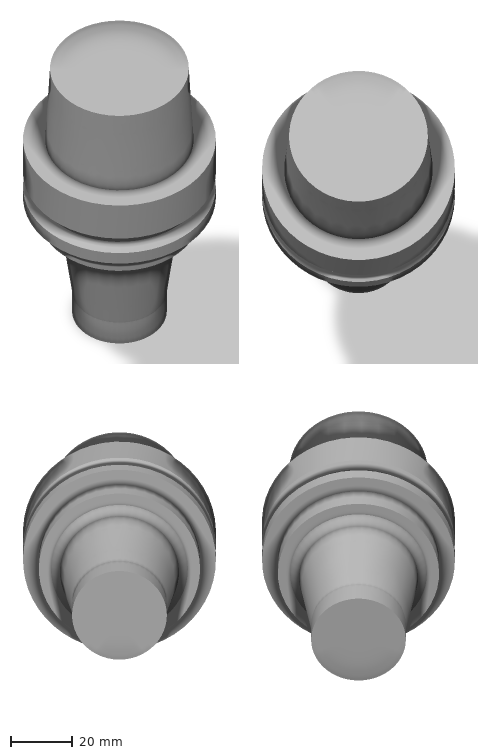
import cadquery as cq

total_height = 109.0

nose_diameter = 31.0
neck_diameter = 38.9
shoulder_diameter = 44.7
collar_diameter = 52.6
flange_diameter = 63.0
groove_mouth_diameter = 57.8
groove_diameter = 55.0
shank_base_diameter = 48.5
shank_top_diameter = 45.3

nose_length = 9.4
neck_length = 30.8
shoulder_height = 2.6
collar_length = 8.2
lower_flange_length = 4.7
groove_chamfer_height = 1.3
groove_floor_length = 3.9
shank_length = 31.9

neck_top = nose_length + neck_length
collar_bottom = neck_top + shoulder_height
collar_top = collar_bottom + collar_length
groove_bottom = collar_top + lower_flange_length
groove_floor_bottom = groove_bottom + groove_chamfer_height
groove_floor_top = groove_floor_bottom + groove_floor_length
groove_top = groove_floor_top + groove_chamfer_height
flange_top = total_height - shank_length

nose_radius = nose_diameter / 2
neck_radius = neck_diameter / 2
collar_radius = collar_diameter / 2
flange_radius = flange_diameter / 2
groove_mouth_radius = groove_mouth_diameter / 2
groove_radius = groove_diameter / 2

profile = (
    cq.Workplane("XZ")
    .lineTo(nose_radius, 0)
    .lineTo(nose_radius, nose_length)
    .lineTo(neck_radius, neck_top)
    .lineTo(shoulder_diameter / 2, collar_bottom)
    .lineTo(collar_radius, collar_bottom)
    .lineTo(collar_radius, collar_top)
    .lineTo(flange_radius, collar_top)
    .lineTo(flange_radius, groove_bottom)
    .lineTo(groove_mouth_radius, groove_floor_bottom)
    .lineTo(groove_radius, groove_floor_bottom)
    .lineTo(groove_radius, groove_floor_top)
    .lineTo(groove_mouth_radius, groove_floor_top)
    .lineTo(flange_radius, groove_top)
    .lineTo(flange_radius, flange_top)
    .lineTo(shank_base_diameter / 2, flange_top)
    .lineTo(shank_top_diameter / 2, total_height)
    .lineTo(0, total_height)
    .close()
)

result = profile.revolve(360, (0, 0, 0), (0, 1, 0))